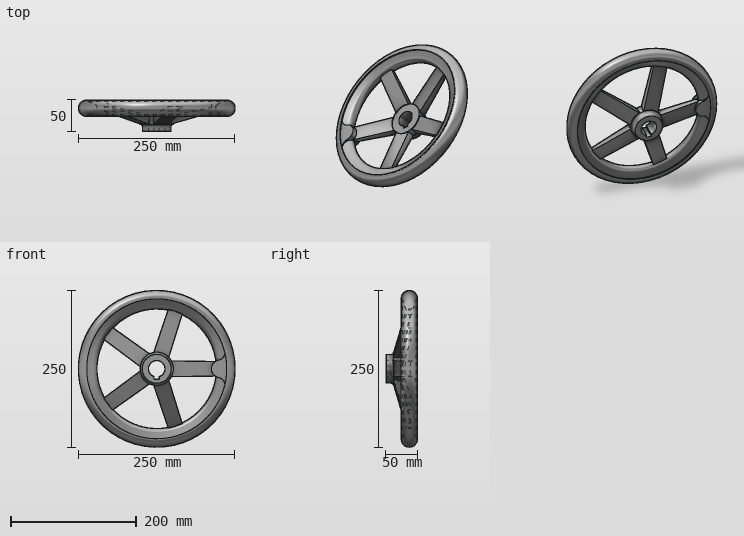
import cadquery as cq
import math


rim_outer_radius = 125.0
rim_thickness = 26.0
rim_half = rim_thickness / 2
rim_crest_radius = rim_outer_radius - rim_half
rim_inner_radius = 95.0
rim_nose_radius = 8.3
rim_flank_start_radius = 101.0
lip_width = 0.5

overall_depth = 50.0
hub_face_y = rim_half - overall_depth
hub_radius = 23.0
hub_neck_length = 8.0
hub_flare_radius = 3.5
hub_back_y = -10.0
hub_body_radius = hub_radius + hub_flare_radius
bore_radius = 13.0
keyway_width = 8.0
keyway_reach = 16.3

spoke_count = 5
spoke_root_radius = 22.0
spoke_tip_radius = 103.0
spoke_root_width = 25.4
spoke_tip_width = 23.4
spoke_root_front_y = -25.5
spoke_root_thickness = 13.5
spoke_tip_front_y = -2.5
spoke_tip_thickness = 7.0

boss_distance = 101.0
boss_radius = 14.0
boss_blend_radius = 12.5
boss_half_length = 11.2


def make_rim():
    nose_center = rim_inner_radius + rim_nose_radius
    tangent_r = rim_flank_start_radius
    flank_angle = math.asin((nose_center - tangent_r) / rim_nose_radius)
    tangent_y = rim_nose_radius * math.cos(flank_angle)
    flank_end_r = rim_crest_radius - lip_width
    flank_end_y = tangent_y + (flank_end_r - tangent_r) * math.tan(flank_angle)
    return (
        cq.Workplane("XY")
        .moveTo(rim_crest_radius, -rim_half)
        .threePointArc((rim_outer_radius, 0), (rim_crest_radius, rim_half))
        .lineTo(flank_end_r, rim_half)
        .lineTo(flank_end_r, flank_end_y)
        .lineTo(tangent_r, tangent_y)
        .threePointArc((rim_inner_radius, 0), (tangent_r, -tangent_y))
        .lineTo(flank_end_r, -flank_end_y)
        .lineTo(flank_end_r, -rim_half)
        .close()
        .revolve(360, (0, 0, 0), (0, 1, 0))
    )


def make_hub():
    neck_end_y = hub_face_y + hub_neck_length
    flare_end_y = neck_end_y + hub_flare_radius
    flare_mid = hub_flare_radius * math.sqrt(0.5)
    return (
        cq.Workplane("XY")
        .moveTo(0, hub_face_y)
        .lineTo(hub_radius, hub_face_y)
        .lineTo(hub_radius, neck_end_y)
        .threePointArc(
            (hub_body_radius - flare_mid, neck_end_y + flare_mid),
            (hub_body_radius, flare_end_y),
        )
        .lineTo(hub_body_radius, hub_back_y)
        .lineTo(0, hub_back_y)
        .close()
        .revolve(360, (0, 0, 0), (0, 1, 0))
    )


def make_spoke():
    """Spoke along +X, tapering in width and thickness from hub to rim."""
    root_center_y = spoke_root_front_y + spoke_root_thickness / 2
    tip_center_y = spoke_tip_front_y + spoke_tip_thickness / 2
    return (
        cq.Workplane("YZ", origin=(spoke_root_radius, root_center_y, 0))
        .rect(spoke_root_thickness, spoke_root_width)
        .workplane(offset=spoke_tip_radius - spoke_root_radius)
        .center(tip_center_y - root_center_y, 0)
        .rect(spoke_tip_thickness, spoke_tip_width)
        .loft(ruled=True)
    )


def make_boss():
    """Round boss whose sides blend into the inside of the rim crest circle."""
    blend_to_axis = rim_crest_radius - boss_blend_radius
    blend_to_boss = boss_radius + boss_blend_radius
    blend_x = (blend_to_axis**2 - blend_to_boss**2 + boss_distance**2) / (2 * boss_distance)
    blend_z = math.sqrt(blend_to_axis**2 - blend_x**2)

    boss_share = boss_radius / blend_to_boss
    start_x = boss_distance + (blend_x - boss_distance) * boss_share
    start_z = blend_z * boss_share
    crest_share = rim_crest_radius / blend_to_axis
    end_x = blend_x * crest_share
    end_z = blend_z * crest_share
    middle_angle = -math.pi / 4
    middle_x = blend_x + boss_blend_radius * math.cos(middle_angle)
    middle_z = blend_z + boss_blend_radius * math.sin(middle_angle)

    return (
        cq.Workplane("XZ")
        .moveTo(start_x, -start_z)
        .threePointArc((boss_distance - boss_radius, 0), (start_x, start_z))
        .threePointArc((middle_x, middle_z), (end_x, end_z))
        .threePointArc((rim_crest_radius, 0), (end_x, -end_z))
        .threePointArc((middle_x, -middle_z), (start_x, -start_z))
        .close()
        .extrude(boss_half_length, both=True)
    )


def make_keyed_bore():
    length = hub_back_y - hub_face_y
    plane = cq.Workplane("XZ", origin=(0, hub_back_y, 0))
    bore = plane.circle(bore_radius).extrude(length)
    keyway = plane.center(0, -keyway_reach / 2).rect(keyway_width, keyway_reach).extrude(length)
    return bore.union(keyway)


wheel = make_rim().union(make_hub())
for index in range(spoke_count):
    spoke_angle = index * 360 / spoke_count
    wheel = wheel.union(make_spoke().rotate((0, 0, 0), (0, 1, 0), spoke_angle))
wheel = wheel.union(make_boss())

result = wheel.cut(make_keyed_bore())